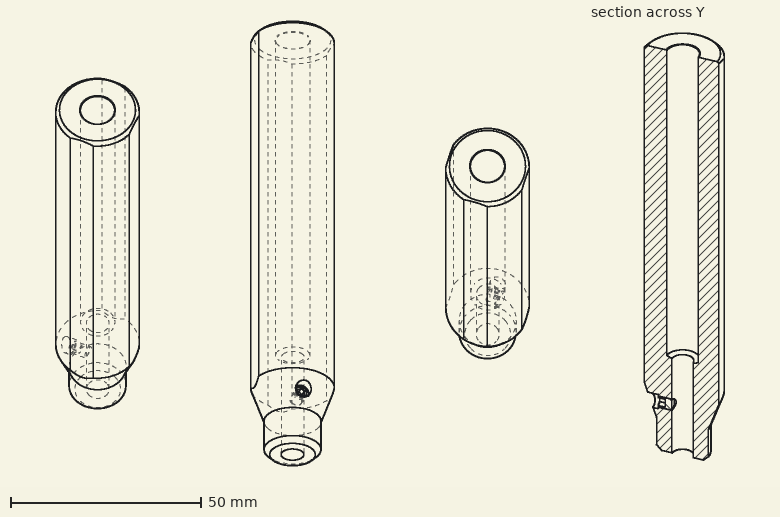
import cadquery as cq
import math

length = 125.0
body_radius = 11.0
flat_distance = 10.5
flat_directions = [0, 90, 270]
neck_radius = 7.5
neck_length = 10.0
taper_length = 10.0
neck_chamfer = 1.5
top_chamfer = 1.0

wide_bore_radius = 4.5
narrow_bore_radius = 3.0
mouth_chamfer = 0.15
wide_bore_bottom = 30.0
drill_point_angle = 140.0

screw_height = 15.0
recess_radius = 2.1
recess_floor_x = -7.0

screw_radius = 1.6
screw_face_x = recess_floor_x
screw_tip_x = -narrow_bore_radius
socket_width = 2.0
socket_depth = 2.0

taper_top = neck_length + taper_length


def revolve_about_z(profile):
    """Solid of revolution from (radius, height) points."""
    return cq.Workplane("XZ").polyline(profile).close().revolve(360, (0, 0), (0, 1))


def make_blank():
    """Round bar with the taper, the neck and both end chamfers."""
    profile = [
        (0, 0),
        (neck_radius - neck_chamfer, 0),
        (neck_radius, neck_chamfer),
        (neck_radius, neck_length),
        (body_radius, taper_top),
        (body_radius, length - top_chamfer),
        (body_radius - top_chamfer, length),
        (0, length),
    ]
    return revolve_about_z(profile)


def make_flat_cutter(direction):
    """Block that removes everything beyond one flat."""
    block = cq.Workplane("XY").box(
        body_radius, 2 * body_radius, length, centered=(False, True, False)
    )
    return block.translate((flat_distance, 0, 0)).rotate((0, 0, 0), (0, 0, 1), direction)


def make_bore():
    """Stepped bore with a conical drill-point shoulder and a chamfered mouth."""
    step = wide_bore_radius - narrow_bore_radius
    shoulder_length = step / math.tan(math.radians(drill_point_angle / 2))
    profile = [
        (0, 0),
        (narrow_bore_radius, 0),
        (narrow_bore_radius, wide_bore_bottom - shoulder_length),
        (wide_bore_radius, wide_bore_bottom),
        (wide_bore_radius, length - mouth_chamfer),
        (wide_bore_radius + mouth_chamfer, length),
        (0, length),
    ]
    return revolve_about_z(profile)


def make_rod(radius, start_x, end_x):
    """Round rod along X at the height of the set screw."""
    return (
        cq.Workplane("YZ", origin=(start_x, 0, screw_height))
        .circle(radius)
        .extrude(end_x - start_x)
    )


def make_screw_hole():
    """Recess from outside the taper, with a narrower hole on into the bore."""
    recess = make_rod(recess_radius, -body_radius, recess_floor_x)
    return recess.union(make_rod(screw_radius, -body_radius, 0))


def make_handle():
    handle = make_blank()
    for direction in flat_directions:
        handle = handle.cut(make_flat_cutter(direction))
    return handle.cut(make_bore()).cut(make_screw_hole())


def make_set_screw():
    """Headless screw with a hexagon socket in its outer face."""
    screw = make_rod(screw_radius, screw_face_x, screw_tip_x)
    socket_corners = socket_width / math.cos(math.pi / 6)
    socket = (
        cq.Workplane("YZ", origin=(screw_face_x, 0, screw_height))
        .transformed(rotate=(0, 0, 90))
        .polygon(6, socket_corners)
        .extrude(socket_depth)
    )
    return screw.cut(socket)


handle = make_handle()
set_screw = make_set_screw()

result = cq.Compound.makeCompound([handle.val(), set_screw.val()])